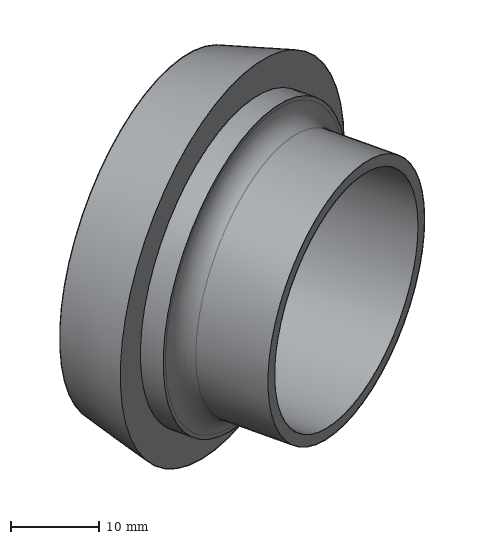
import cadquery as cq

total_length = 25.0
face_depth = 0.55
flange_end = 10.0
collar_end = 13.0
fillet_radius = 2.5

bore_radius = 32.0 / 2
spigot_radius = 35.0 / 2
collar_radius = 41.0 / 2
face_radius = 45.0 / 2
flange_radius = 50.0 / 2
face_flat_radius = 33.0 / 2

neck_radius = spigot_radius + fillet_radius
diagonal_offset = fillet_radius * (1 - 0.5 ** 0.5)
profile = (
    cq.Workplane("XY")
    .moveTo(0, bore_radius)
    .lineTo(0, face_flat_radius)
    .lineTo(face_depth, face_radius)
    .lineTo(flange_end, flange_radius)
    .lineTo(flange_end, collar_radius)
    .lineTo(collar_end, collar_radius)
    .lineTo(collar_end, neck_radius)
    .threePointArc(
        (collar_end + diagonal_offset, spigot_radius + diagonal_offset),
        (collar_end + fillet_radius, spigot_radius),
    )
    .lineTo(total_length, spigot_radius)
    .lineTo(total_length, bore_radius)
    .close()
)

result = profile.revolve(360, (0, 0, 0), (1, 0, 0))